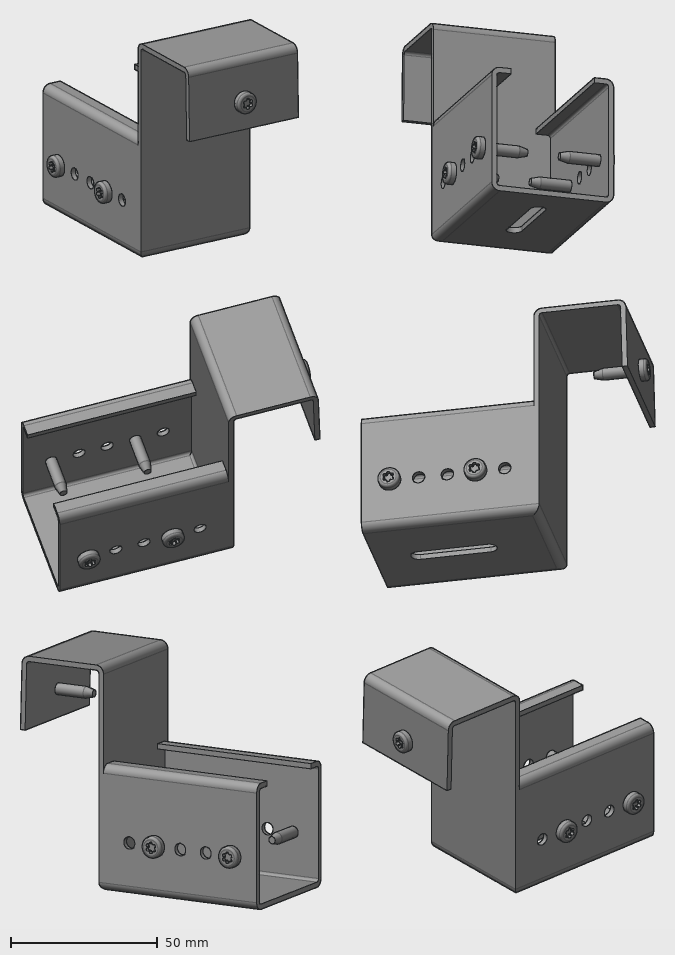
import cadquery as cq
import math

thickness = 1.85
inner_bend_radius = 1.05
outer_bend_radius = inner_bend_radius + thickness
channel_length = 62.0
channel_width = 44.0
channel_height = 44.1
lip_width = 7.0
bracket_height = 78.7
hook_width = 31.95
leg_length = 26.0
leg_lean = 1.5

wall_x = channel_length - thickness
hook_corner_x = wall_x + hook_width
sin_lean = math.sin(math.radians(leg_lean))
cos_lean = math.cos(math.radians(leg_lean))
tan_lean = math.tan(math.radians(leg_lean))

slot_center_x = 27.5
slot_length = 30.0
slot_width = 5.5
hole_diameter = 4.3
hole_pitch = 10.0
hole_count = 5
hole_height = 18.0
screwed_holes = (1, 4)

head_diameter = 7.6
head_height = 2.78
head_edge_radius = 1.0
shank_diameter = 4.1
tip_diameter = 2.5
shank_length = 12.9
screw_length = 16.1
drive_diameter = 3.95
drive_core_diameter = 2.9
drive_lobe_diameter = 1.1
drive_lobe_count = 6
drive_depth = 1.5
hook_screw_drop = 15.9


def make_channel():
    """Channel along X with a floor, two sides, two inward lips and a closed far end."""
    outer = (
        cq.Workplane("XY")
        .box(channel_length, channel_width, channel_height, centered=(False, True, False))
        .edges("|X")
        .fillet(outer_bend_radius)
    )
    end_rounding = (
        cq.Workplane("XY")
        .box(channel_length, channel_width, channel_height, centered=(False, True, False))
        .edges("|Y and >X and <Z")
        .fillet(outer_bend_radius)
    )
    cavity = (
        cq.Workplane("XY", origin=(0, 0, thickness))
        .box(
            wall_x,
            channel_width - 2 * thickness,
            channel_height - 2 * thickness,
            centered=(False, True, False),
        )
        .edges("|X or (|Y and >X and <Z)")
        .fillet(inner_bend_radius)
    )
    lip_gap = cq.Workplane("XY", origin=(0, 0, channel_height / 2)).box(
        wall_x, channel_width - 2 * lip_width, channel_height, centered=(False, True, False)
    )
    return outer.intersect(end_rounding).cut(cavity).cut(lip_gap)


def make_hook():
    """End wall rising above the channel, the hook top and the leaning leg, as one bent strip."""
    wall_bottom = channel_height - outer_bend_radius
    inner_top = bracket_height - thickness
    inner_corner_x = hook_corner_x + thickness * tan_lean - thickness / cos_lean
    leg_end = (hook_corner_x + leg_length * sin_lean, bracket_height - leg_length * cos_lean)
    leg_inner_end = (leg_end[0] - thickness * cos_lean, leg_end[1] - thickness * sin_lean)
    strip = (
        cq.Workplane("XZ")
        .moveTo(wall_x, wall_bottom)
        .lineTo(wall_x, bracket_height)
        .lineTo(hook_corner_x, bracket_height)
        .lineTo(*leg_end)
        .lineTo(*leg_inner_end)
        .lineTo(inner_corner_x, inner_top)
        .lineTo(channel_length, inner_top)
        .lineTo(channel_length, wall_bottom)
        .close()
        .extrude(channel_width / 2, both=True)
    )
    strip = strip.edges("|Y and >Z").fillet(outer_bend_radius)
    inner_corners = cq.selectors.BoxSelector(
        (channel_length - thickness / 2, -channel_width, inner_top - thickness / 2),
        (inner_corner_x + thickness / 2, channel_width, inner_top + thickness / 2),
    )
    return strip.edges("|Y").edges(inner_corners).fillet(inner_bend_radius)


def cut_slot(body):
    """Lengthwise slot through the floor."""
    slot = (
        cq.Workplane("XY", origin=(slot_center_x, 0, 0))
        .slot2D(slot_length, slot_width)
        .extrude(thickness)
    )
    return body.cut(slot)


def cut_side_holes(body):
    """Row of holes through both channel sides, leaving out the ones that screws fill."""
    centers = [
        (hole_pitch * number, hole_height)
        for number in range(1, hole_count + 1)
        if number not in screwed_holes
    ]
    holes = (
        cq.Workplane("XZ")
        .pushPoints(centers)
        .circle(hole_diameter / 2)
        .extrude(channel_width / 2, both=True)
    )
    return body.cut(holes)


def make_screw(seat, head_direction, head_up):
    """Screw whose head sits at `seat` and points along `head_direction`.

    One lobe of the drive recess points along `head_up`.
    """
    plane = cq.Plane(origin=seat, xDir=head_up, normal=head_direction)
    head = (
        cq.Workplane(plane)
        .circle(head_diameter / 2)
        .extrude(head_height)
        .faces(cq.selectors.DirectionMinMaxSelector(plane.zDir, True))
        .edges()
        .fillet(head_edge_radius)
    )
    recess_plane = cq.Workplane(plane).workplane(offset=head_height - drive_depth)
    recess = recess_plane.circle(drive_core_diameter / 2).extrude(drive_depth)
    lobes = (
        recess_plane
        .polarArray((drive_diameter - drive_lobe_diameter) / 2, 0, 360, drive_lobe_count)
        .circle(drive_lobe_diameter / 2)
        .extrude(drive_depth)
    )
    shank = cq.Workplane(plane).circle(shank_diameter / 2).extrude(-shank_length)
    tip = (
        cq.Workplane(plane)
        .workplane(offset=-shank_length)
        .circle(shank_diameter / 2)
        .workplane(offset=shank_length - screw_length)
        .circle(tip_diameter / 2)
        .loft()
    )
    return head.cut(recess.union(lobes)).union(shank).union(tip)


def add_screws(body):
    """Two screws in each channel side and one through the hook leg."""
    for number in screwed_holes:
        for side in (-1, 1):
            seat = (hole_pitch * number, side * channel_width / 2, hole_height)
            body = body.union(make_screw(seat, (0, side, 0), (0, 0, 1)))
    leg_face_x = hook_corner_x + hook_screw_drop * tan_lean
    leg_seat = (leg_face_x, 0, bracket_height - hook_screw_drop)
    return body.union(make_screw(leg_seat, (1, 0, 0), (0, 0, 1)))


bracket = make_channel().union(make_hook())
bracket = cut_slot(bracket)
bracket = cut_side_holes(bracket)
result = add_screws(bracket)